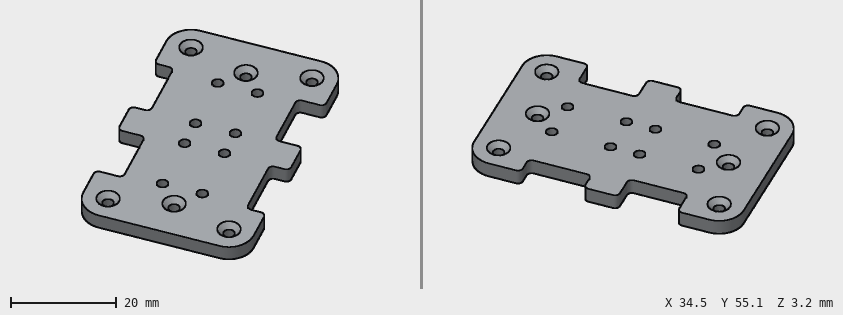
import cadquery as cq

length = 55.1
width = 34.5
thickness = 3.2
corner_radius = 5.0

notch_outer_y = 16.0
deep_notch_floor_x = 11.7
deep_notch_inner_y = 3.85
shallow_notch_floor_x = 13.3
shallow_notch_inner_y = 3.15
notch_radius = 1.0

hole_diameter = 2.2
countersink_diameter = 4.45
countersink_angle = 90.0
middle_screw_y = 19.5
pin_diameter = 2.2
pin_x = 4.0
pin_inner_y = 3.0
pin_outer_y = 15.0

half_width = width / 2
half_length = length / 2


def right_notch(floor_x, y_low, y_high):
    """Rectangular cutter open to the +X side of the plate."""
    return (
        cq.Workplane("XY")
        .box(half_width - floor_x, y_high - y_low, thickness, centered=False)
        .translate((floor_x, y_low, 0))
    )


def cut_notches(body):
    """Cut two notches on the +X side and their half-turn copies on the -X side."""
    notches = [
        right_notch(deep_notch_floor_x, deep_notch_inner_y, notch_outer_y),
        right_notch(shallow_notch_floor_x, -notch_outer_y, -shallow_notch_inner_y),
    ]
    for notch in notches:
        body = body.cut(notch)
        body = body.cut(notch.rotate((0, 0, 0), (0, 0, 1), 180))
    return body


plate = cq.Workplane("XY").box(width, length, thickness, centered=(True, True, False))
plate = plate.edges("|Z").fillet(corner_radius)

plate = cut_notches(plate)
notch_zone = cq.selectors.BoxSelector(
    (-width, -notch_outer_y - notch_radius, -thickness),
    (width, notch_outer_y + notch_radius, 2 * thickness),
)
plate = plate.edges("|Z").edges(notch_zone).fillet(notch_radius)

corner_x = half_width - corner_radius
corner_y = half_length - corner_radius
screw_points = [(0, side * middle_screw_y) for side in (-1, 1)]
screw_points += [(sx * corner_x, sy * corner_y) for sx in (-1, 1) for sy in (-1, 1)]
plate = (
    plate.faces(">Z").workplane(origin=(0, 0, thickness))
    .pushPoints(screw_points)
    .cskHole(hole_diameter, countersink_diameter, countersink_angle)
)

pin_points = [
    (side * pin_x, y)
    for side in (-1, 1)
    for y in (-pin_outer_y, -pin_inner_y, pin_inner_y, pin_outer_y)
]
result = (
    plate.faces(">Z").workplane(origin=(0, 0, thickness))
    .pushPoints(pin_points)
    .hole(pin_diameter)
)